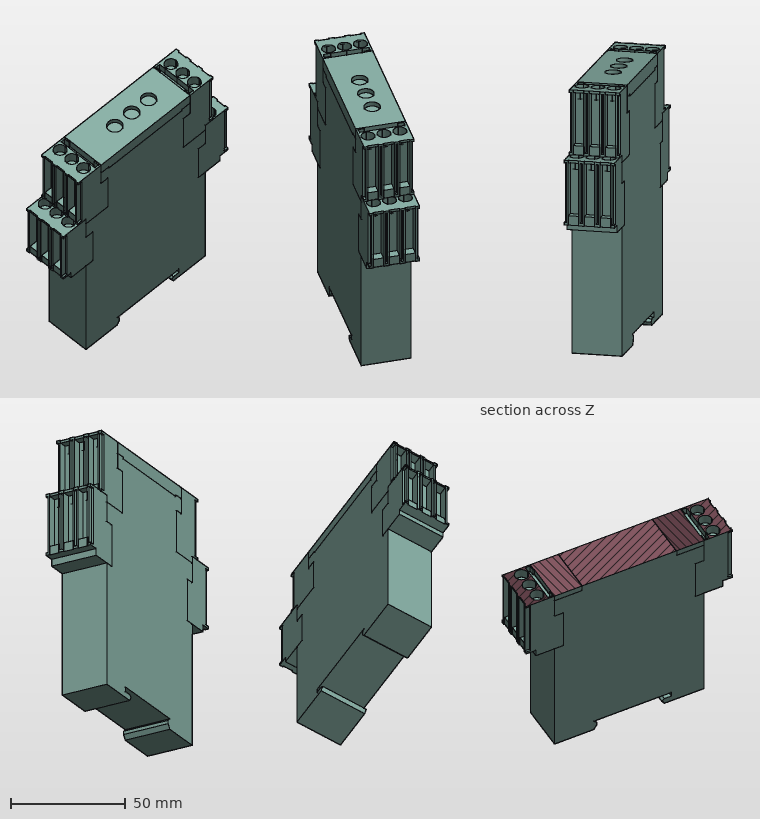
import cadquery as cq

WIDTH = 22.5
HEIGHT = 120.0
LENGTH = 102.0

TIER_SETBACK = 9.2
FACE_HEIGHT = 29.3
LIP_SETBACK = 4.8
LIP_HEIGHT = 3.2
TOP_REACH = TIER_SETBACK + LIP_SETBACK
ROOT_REACH = 18.4
ROOT_DROP = 12.6
BLOCK_HEIGHT = FACE_HEIGHT + LIP_HEIGHT

POLES = 3
POLE_PITCH = 7.2
CHANNEL_WIDTH = 4.7
CHANNEL_DEPTH = 0.5
RIM = 1.2
POCKET_DEPTH = 4.3
POCKET_BOTTOM = 25.1
SLOT_WIDTH = 1.0
SLOT_DEPTH = 2.3

RECESS_HALF_WIDTH = 10.3
RECESS_DEPTH = 3.6
RECESS_REACH = 11.3
LIP_THICKNESS = 0.6
MOUTH_HALF_WIDTH = 7.5

SCREW_RADIUS = 3.0
SCREW_REACH = 7.7
SLIT_WIDTH = 0.1
SCREW_DEPTH = 5.0
SCREW_OFFSET = -0.2

LOWER_FACE = LENGTH / 2
UPPER_FACE = LOWER_FACE - TIER_SETBACK
LOWER_TOP = HEIGHT - FACE_HEIGHT
TIERS = [(LOWER_FACE, LOWER_TOP), (UPPER_FACE, HEIGHT)]

COVER_GAP = 0.2
BODY_HALF = LOWER_FACE - TOP_REACH
NECK_HALF = UPPER_FACE - TOP_REACH - COVER_GAP
COVER_EDGE_THICKNESS = 5.4
COVER_THICKNESS = 6.2
COVER_STEP_HALF = 22.7
DIAL_RADIUS = 3.6
DIAL_DEPTH = 2.2
DIAL_PITCH = 10.5
DIAL_CENTRE_Y = 2.8

RAIL_SEAT_HEIGHT = 5.0
HOOK_ROOT_Y = 20.8
HOOK_TIP_Y = 16.0
HOOK_CHAMFER_Y = 17.3
HOOK_TIP_HEIGHT = 1.8
HOOK_HEIGHT = 2.9
NOSE_ROOT_Y = -17.5
NOSE_TIP_Y = -16.1
NOSE_LOW = 2.2
NOSE_HIGH = 3.7


def box(x_range, y_range, z_range):
    """Box between the given limits."""
    size = [high - low for low, high in (x_range, y_range, z_range)]
    corner = (x_range[0], y_range[0], z_range[0])
    return cq.Workplane("XY").box(*size, centered=False).translate(corner)


def side_extrusion(points):
    """Outline of (y, z) points extruded across the full width, centred on X = 0."""
    return cq.Workplane("YZ").polyline(points).close().extrude(WIDTH / 2, both=True)


def pole_positions(count):
    """X positions of a centred row at the pole pitch."""
    return [(i - (count - 1) / 2) * POLE_PITCH for i in range(count)]


def block_blank():
    """Stepped block with its outer face on Y = 0 and its top on Z = 0, reaching towards +Y."""
    return side_extrusion([
        (0, 0),
        (0, -FACE_HEIGHT),
        (LIP_SETBACK, -FACE_HEIGHT),
        (LIP_SETBACK, -BLOCK_HEIGHT),
        (ROOT_REACH, -BLOCK_HEIGHT),
        (ROOT_REACH, -ROOT_DROP),
        (TOP_REACH, -ROOT_DROP),
        (TOP_REACH, 0),
    ])


def wire_entry(x):
    """Shallow channel down the whole face with a deep wire pocket behind it."""
    span = (x - CHANNEL_WIDTH / 2, x + CHANNEL_WIDTH / 2)
    channel = box(span, (0, CHANNEL_DEPTH), (-FACE_HEIGHT, 0))
    pocket = box(span, (0, POCKET_DEPTH), (-POCKET_BOTTOM, -RIM))
    return channel.union(pocket)


def partition_slot(x):
    """Narrow slot in the face, beside a pole."""
    span = (x - SLOT_WIDTH / 2, x + SLOT_WIDTH / 2)
    return box(span, (0, SLOT_DEPTH), (RIM - FACE_HEIGHT, -RIM))


def marking_recess():
    """Recess across the top with a narrower mouth through its inner lip."""
    pan = box(
        (-RECESS_HALF_WIDTH, RECESS_HALF_WIDTH),
        (RECESS_REACH, TOP_REACH - LIP_THICKNESS),
        (-RECESS_DEPTH, 0),
    )
    mouth = box((-MOUTH_HALF_WIDTH, MOUTH_HALF_WIDTH), (RECESS_REACH, TOP_REACH), (-RECESS_DEPTH, 0))
    return pan.union(mouth)


def screw_hole(x):
    """Blind screw hole in the top, with a slit to the wire pocket and one to the marking recess."""
    hole = cq.Workplane("XY").center(x, SCREW_REACH).circle(SCREW_RADIUS).extrude(-SCREW_DEPTH)
    span = (x - SLIT_WIDTH / 2, x + SLIT_WIDTH / 2)
    front_slit = box(span, (POCKET_DEPTH, SCREW_REACH), (-SCREW_DEPTH, -RIM))
    rear_slit = box(span, (SCREW_REACH, RECESS_REACH), (-SCREW_DEPTH, 0))
    return hole.union(front_slit).union(rear_slit)


def make_terminal_block():
    """One terminal block with its outer face on Y = 0 and its top on Z = 0."""
    block = block_blank().cut(marking_recess())
    for x in pole_positions(POLES):
        block = block.cut(wire_entry(x)).cut(screw_hole(x + SCREW_OFFSET))
    for x in pole_positions(POLES + 1):
        block = block.cut(partition_slot(x))
    return block


def make_terminal_blocks():
    """Two tiers of blocks at the -Y end, and the same turned half round at the +Y end."""
    blocks = []
    for turn in (0, 180):
        for face, top in TIERS:
            block = make_terminal_block().translate((0, -face, top))
            blocks.append(block.rotate((0, 0, 0), (0, 0, 1), turn))
    return blocks


def make_housing():
    """Stepped housing that fits the blocks, with a rail seat in its foot."""
    root_lower = LOWER_FACE - ROOT_REACH
    root_upper = UPPER_FACE - ROOT_REACH
    half_outline = [
        (BODY_HALF, 0),
        (BODY_HALF, LOWER_TOP - BLOCK_HEIGHT),
        (root_lower, LOWER_TOP - BLOCK_HEIGHT),
        (root_lower, LOWER_TOP - ROOT_DROP),
        (BODY_HALF, LOWER_TOP - ROOT_DROP),
        (BODY_HALF, HEIGHT - BLOCK_HEIGHT),
        (root_upper, HEIGHT - BLOCK_HEIGHT),
        (root_upper, HEIGHT - ROOT_DROP),
        (NECK_HALF, HEIGHT - ROOT_DROP),
        (NECK_HALF, HEIGHT - COVER_EDGE_THICKNESS),
        (COVER_STEP_HALF, HEIGHT - COVER_EDGE_THICKNESS),
        (COVER_STEP_HALF, HEIGHT - COVER_THICKNESS),
    ]
    mirrored = [(-y, z) for y, z in reversed(half_outline)]
    return side_extrusion(half_outline + mirrored).cut(rail_seat())


def rail_seat():
    """Slot for the mounting rail, under a hook at +Y and a pointed nose at -Y."""
    return side_extrusion([
        (HOOK_CHAMFER_Y, 0),
        (HOOK_TIP_Y, HOOK_TIP_HEIGHT),
        (HOOK_CHAMFER_Y, HOOK_HEIGHT),
        (HOOK_ROOT_Y, HOOK_HEIGHT),
        (HOOK_ROOT_Y, RAIL_SEAT_HEIGHT),
        (NOSE_ROOT_Y, RAIL_SEAT_HEIGHT),
        (NOSE_TIP_Y, NOSE_HIGH),
        (NOSE_TIP_Y, NOSE_LOW),
        (NOSE_ROOT_Y, 0),
    ])


def make_cover():
    """Top cover, thicker between its ends, with a row of round dial recesses."""
    cover = side_extrusion([
        (NECK_HALF, HEIGHT),
        (NECK_HALF, HEIGHT - COVER_EDGE_THICKNESS),
        (COVER_STEP_HALF, HEIGHT - COVER_EDGE_THICKNESS),
        (COVER_STEP_HALF, HEIGHT - COVER_THICKNESS),
        (-COVER_STEP_HALF, HEIGHT - COVER_THICKNESS),
        (-COVER_STEP_HALF, HEIGHT - COVER_EDGE_THICKNESS),
        (-NECK_HALF, HEIGHT - COVER_EDGE_THICKNESS),
        (-NECK_HALF, HEIGHT),
    ])
    centres = [(0, DIAL_CENTRE_Y + step * DIAL_PITCH) for step in (-1, 0, 1)]
    dials = cq.Workplane("XY", origin=(0, 0, HEIGHT)).pushPoints(centres)
    return cover.cut(dials.circle(DIAL_RADIUS).extrude(-DIAL_DEPTH))


housing = make_housing()
cover = make_cover()
terminal_blocks = make_terminal_blocks()

result = cq.Compound.makeCompound([
    housing.val(),
    cover.val(),
    *[solid for block in terminal_blocks for solid in block.solids().vals()],
])